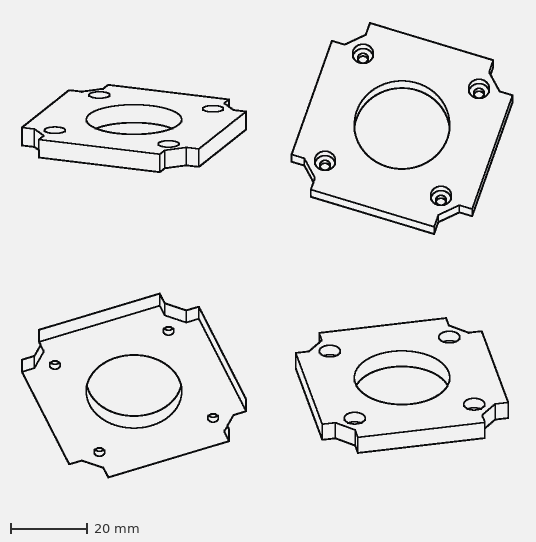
import cadquery as cq

side = 49.8
thickness = 5.0
bore_diameter = 25.0

tab_width = 34.0
tab_step = 3.55

hole_spacing = 31.95
hole_diameter = 2.8
counterbore_diameter = 5.5
counterbore_depth = 3.0

half_side = side / 2
half_tab = tab_width / 2
step_end = half_side - tab_step


def make_plate():
    """Square plate, centred on the origin, with four notched corners."""
    plate = cq.Workplane("XY").box(side, side, thickness)
    notch = (
        cq.Workplane("XY")
        .workplane(offset=-thickness / 2)
        .polyline([
            (half_side, half_tab),
            (step_end, half_tab),
            (half_tab, step_end),
            (half_tab, half_side),
            (half_side, half_side),
        ])
        .close()
        .extrude(thickness)
    )
    for quarter in range(4):
        plate = plate.cut(notch.rotate((0, 0, 0), (0, 0, 1), 90 * quarter))
    return plate


def add_holes(plate):
    """Cut the central bore and the counterbored screw holes from the top."""
    bored = plate.faces(">Z").workplane().hole(bore_diameter)
    return (
        bored.faces(">Z")
        .workplane(origin=(0, 0, 0))
        .rect(hole_spacing, hole_spacing, forConstruction=True)
        .vertices()
        .cboreHole(hole_diameter, counterbore_diameter, counterbore_depth)
    )


result = add_holes(make_plate())